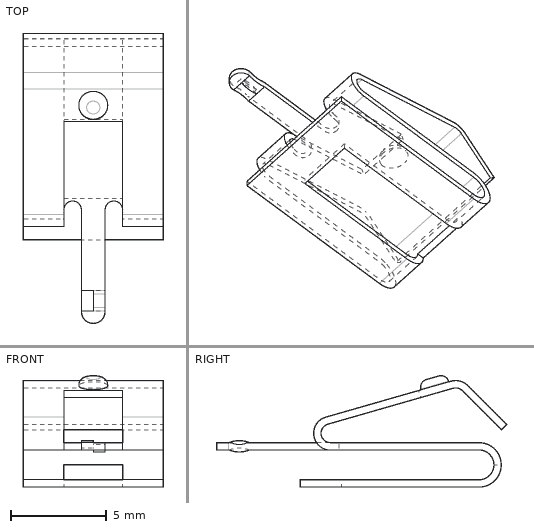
import cadquery as cq
import math

width = 7.38
length = 15.24
thickness = 0.4

fold_radius = 1.17
fold_center_y = 13.78
base_front_y = 4.39
middle_top = 2 * fold_radius
middle_bottom = middle_top - thickness

loop_radius = 0.88
loop_center_y = 5.97
loop_center_z = middle_bottom + loop_radius
arm_angle = 16.0
tip_angle = 45.0
apex_center_y = 12.56
arm_slope = math.tan(math.radians(arm_angle))
apex_center_z = loop_center_z + (apex_center_y - loop_center_y) * arm_slope

window_width = 3.08
window_back_y = 10.6
opening_front_y = 6.55

tongue_width = 1.25
tongue_end_radius = tongue_width / 2
crimp_front_y = 0.65
crimp_back_y = 1.72
crimp_height = 0.1
dip_ramp_length = 0.18
dip_ramp_depth = 0.038

button_radius = 0.76
button_flat_radius = 0.35
button_height = 0.44
button_y = 11.46


def polar(center, radius, angle):
    """Point in (Y, Z) around a center; the angle is measured from +Y toward +Z."""
    a = math.radians(angle)
    return center[0] + radius * math.cos(a), center[1] + radius * math.sin(a)


def extrude_x(outline, x_min, x_max):
    return outline.close().extrude(x_max - x_min).translate((x_min, 0, 0))


def box(x_min, x_max, y_min, y_max, z_min, z_max):
    size = (x_max - x_min, y_max - y_min, z_max - z_min)
    return cq.Workplane("XY").box(*size, centered=False).translate((x_min, y_min, z_min))


fold_center = (fold_center_y, fold_radius)
loop_center = (loop_center_y, loop_center_z)
apex_center = (apex_center_y, apex_center_z)
arm_normal = 90 + arm_angle
tip_normal = 90 - tip_angle
loop_middle = (arm_normal + 270) / 2
apex_middle = (arm_normal + tip_normal) / 2

tip_start = polar(apex_center, loop_radius, tip_normal)
tip_length = (length - tip_start[0]) / math.cos(math.radians(tip_angle))
inner_fold_radius = fold_radius - thickness
inner_loop_radius = loop_radius - thickness
tip_outer = polar(tip_start, tip_length, -tip_angle)
tip_inner = polar(tip_outer, thickness, tip_normal + 180)


def bent_strip():
    outline = (
        cq.Workplane("YZ")
        .moveTo(base_front_y, 0)
        .lineTo(fold_center_y, 0)
        .threePointArc(polar(fold_center, fold_radius, 0), (fold_center_y, middle_top))
        .lineTo(loop_center_y, middle_top)
        .threePointArc(
            polar(loop_center, inner_loop_radius, loop_middle),
            polar(loop_center, inner_loop_radius, arm_normal),
        )
        .lineTo(*polar(apex_center, inner_loop_radius, arm_normal))
        .threePointArc(
            polar(apex_center, inner_loop_radius, apex_middle),
            polar(apex_center, inner_loop_radius, tip_normal),
        )
        .lineTo(*tip_inner)
        .lineTo(*tip_outer)
        .lineTo(*tip_start)
        .threePointArc(
            polar(apex_center, loop_radius, apex_middle),
            polar(apex_center, loop_radius, arm_normal),
        )
        .lineTo(*polar(loop_center, loop_radius, arm_normal))
        .threePointArc(
            polar(loop_center, loop_radius, loop_middle),
            (loop_center_y, middle_bottom),
        )
        .lineTo(fold_center_y, middle_bottom)
        .threePointArc(polar(fold_center, inner_fold_radius, 0), (fold_center_y, thickness))
        .lineTo(base_front_y, thickness)
    )
    return extrude_x(outline, -width / 2, width / 2)


def arm_top_z(y):
    """Height of the arm's upper face."""
    y_ref, z_ref = polar(apex_center, loop_radius, arm_normal)
    return z_ref + (y - y_ref) * arm_slope


def arm_window():
    """Opening with its back edge square to the arm, running out through the loop."""
    back_top = (window_back_y, arm_top_z(window_back_y))
    back_bottom = polar(back_top, thickness, arm_normal + 180)
    above_back = polar(back_top, thickness, arm_normal)
    outline = cq.Workplane("YZ").polyline(
        [
            (0, middle_top),
            (loop_center_y, middle_top),
            back_bottom,
            above_back,
            (0, above_back[1]),
        ]
    )
    return extrude_x(outline, -window_width / 2, window_width / 2)


def loop_clearance():
    """Removes the part of the loop that lies at the tongue's level."""
    half = window_width / 2
    return box(-half, half, 0, loop_center_y, middle_bottom, middle_top)


def relief_notches():
    notch_radius = (window_width - tongue_width) / 4
    notch_x = tongue_width / 2 + notch_radius
    return (
        cq.Workplane("XY", origin=(0, 0, middle_bottom))
        .pushPoints([(-notch_x, loop_center_y), (notch_x, loop_center_y)])
        .circle(notch_radius)
        .extrude(thickness)
    )


def base_opening():
    """Opening in the base plate, running back through the lower half of the U bend."""
    half = window_width / 2
    return box(-half, half, opening_front_y, length, 0, fold_radius)


def tongue():
    half = tongue_width / 2
    bar = box(-half, half, tongue_end_radius, loop_center_y, middle_bottom, middle_top)
    end = (
        cq.Workplane("XY", origin=(0, tongue_end_radius, middle_bottom))
        .circle(tongue_end_radius)
        .extrude(thickness)
    )
    return bar.union(end)


crimp_middle_y = (crimp_front_y + crimp_back_y) / 2


def bulge(level, offset, x_min):
    """Arched segment over half the tongue, standing off a flat face at the given level."""
    outline = (
        cq.Workplane("YZ")
        .moveTo(crimp_front_y, level)
        .threePointArc((crimp_middle_y, level + offset), (crimp_back_y, level))
    )
    return extrude_x(outline, x_min, x_min + tongue_width / 2)


def dip():
    """Hollow above the lowered half: an arc between two short ramps."""
    ramp_z = middle_top - dip_ramp_depth
    outline = (
        cq.Workplane("YZ")
        .moveTo(crimp_front_y, middle_top)
        .lineTo(crimp_front_y + dip_ramp_length, ramp_z)
        .threePointArc(
            (crimp_middle_y, middle_top - crimp_height),
            (crimp_back_y - dip_ramp_length, ramp_z),
        )
        .lineTo(crimp_back_y, middle_top)
    )
    return extrude_x(outline, 0, tongue_width / 2)


def crimped_tongue():
    left = -tongue_width / 2
    return (
        tongue()
        .cut(bulge(middle_bottom, crimp_height, left))
        .cut(dip())
        .union(bulge(middle_top, crimp_height, left))
        .union(bulge(middle_bottom, -crimp_height, 0))
    )


def contact_button():
    """Round button with a flat top, square to the arm and rooted in the sheet."""
    root_depth = thickness / 2
    return (
        cq.Workplane("XY", origin=(0, 0, -root_depth))
        .circle(button_radius)
        .extrude(root_depth + button_height)
        .faces(">Z")
        .edges()
        .fillet(button_radius - button_flat_radius)
        .rotate((0, 0, 0), (1, 0, 0), arm_angle)
        .translate((0, button_y, arm_top_z(button_y)))
    )


result = (
    bent_strip()
    .cut(arm_window())
    .cut(loop_clearance())
    .cut(relief_notches())
    .cut(base_opening())
    .union(crimped_tongue().cut(relief_notches()))
    .union(contact_button())
)